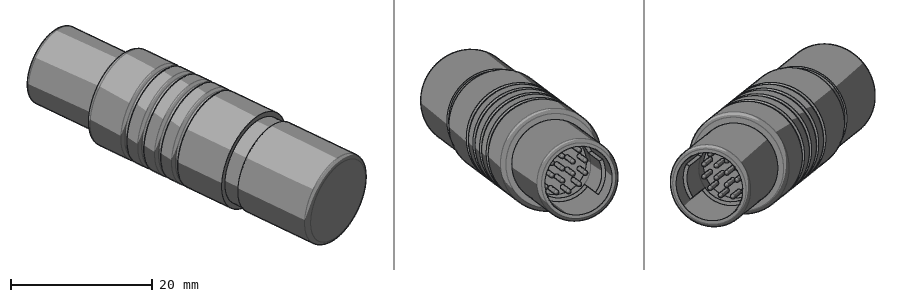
import cadquery as cq
import math

total_length = 51.0
plug_length = 12.0
body_length = 24.0
neck_length = 2.5
body_start = plug_length
body_end = body_start + body_length
neck_end = body_end + neck_length

plug_radius = 6.0
body_radius = 7.5
neck_radius = 6.75
rear_radius = 7.0

plug_edge_radius = 0.5
body_edge_radius = 0.6
rear_edge_radius = 0.6

groove_count = 4
groove_pitch = 3.0
groove_radius = 0.3
groove_lip_radius = 0.75
first_groove_center = body_start + 6.85

bore_radius = 5.0
inner_bore_radius = 4.45
bore_depth = 8.0
contact_face_depth = 10.0

shell_front_depth = 3.0
shell_upper_angle = 24.0
shell_lower_angle = -38.0

pin_radius = 0.35
pin_length = 3.0
pin_rings = [(1, 0.0, 0.0), (6, 1.8, 30.0), (12, 3.5, 15.0)]


def cylinder(start, end, radius):
    """Solid cylinder along X between two stations."""
    return cq.Workplane("YZ", origin=(start, 0, 0)).circle(radius).extrude(end - start)


def make_outer():
    """Stepped outer barrel with rounded edges."""
    plug = cylinder(0, body_end, plug_radius).faces("<X").edges().fillet(plug_edge_radius)
    body = cylinder(body_start, body_end, body_radius).faces("<X").edges().fillet(body_edge_radius)
    neck = cylinder(body_end, neck_end, neck_radius)
    rear = cylinder(neck_end, total_length, rear_radius).faces(">X").edges().fillet(rear_edge_radius)
    return plug.union(body).union(neck).union(rear)


def make_groove(center):
    """Ring cutter: a semicircle whose -X side blends into the barrel through the lip rounding."""
    arc_center_gap = groove_lip_radius + groove_radius
    lip_angle = math.acos(groove_lip_radius / arc_center_gap)
    lip_start = center - arc_center_gap * math.sin(lip_angle)
    lip_center_radius = body_radius - groove_lip_radius

    def lip_point(angle):
        return (
            lip_start + groove_lip_radius * math.sin(angle),
            lip_center_radius + groove_lip_radius * math.cos(angle),
        )

    profile = (
        cq.Workplane("XY")
        .moveTo(*lip_point(0))
        .threePointArc(lip_point(lip_angle / 2), lip_point(lip_angle))
        .threePointArc((center, body_radius - groove_radius), (center + groove_radius, body_radius))
        .close()
    )
    return profile.revolve(360, (0, 0, 0), (1, 0, 0))


def make_guide_shell(side):
    """Ring sector on the +Y (side = 1) or -Y (side = -1) bore wall, reaching into the plug wall."""
    middle_angle = (shell_upper_angle + shell_lower_angle) / 2

    def point(radius, angle):
        return (side * radius * math.cos(math.radians(angle)), radius * math.sin(math.radians(angle)))

    return (
        cq.Workplane("YZ", origin=(shell_front_depth, 0, 0))
        .moveTo(*point(inner_bore_radius, shell_lower_angle))
        .lineTo(*point(plug_radius, shell_lower_angle))
        .threePointArc(point(plug_radius, middle_angle), point(plug_radius, shell_upper_angle))
        .lineTo(*point(inner_bore_radius, shell_upper_angle))
        .threePointArc(point(inner_bore_radius, middle_angle), point(inner_bore_radius, shell_lower_angle))
        .close()
        .extrude(bore_depth - shell_front_depth)
    )


def make_socket():
    """Void of the socket: the bore less the two guide shells, then the inner bore."""
    bore = cylinder(0, bore_depth, bore_radius)
    for side in (1, -1):
        bore = bore.cut(make_guide_shell(side))
    return bore.union(cylinder(bore_depth, contact_face_depth, inner_bore_radius))


def make_pins():
    """All contact pins, standing on the contact face and pointing to -X."""
    pin = cylinder(contact_face_depth - pin_length + pin_radius, contact_face_depth, pin_radius)
    tip = cq.Workplane("XY").sphere(pin_radius).translate((contact_face_depth - pin_length + pin_radius, 0, 0))
    pin = pin.union(tip)
    pins = []
    for count, ring_radius, first_angle in pin_rings:
        for index in range(count):
            angle = math.radians(first_angle + index * 360 / count)
            pins.append(pin.translate((0, ring_radius * math.cos(angle), ring_radius * math.sin(angle))))
    return pins


result = make_outer()
for groove_index in range(groove_count):
    result = result.cut(make_groove(first_groove_center + groove_index * groove_pitch))

result = result.cut(make_socket())
for contact_pin in make_pins():
    result = result.union(contact_pin)